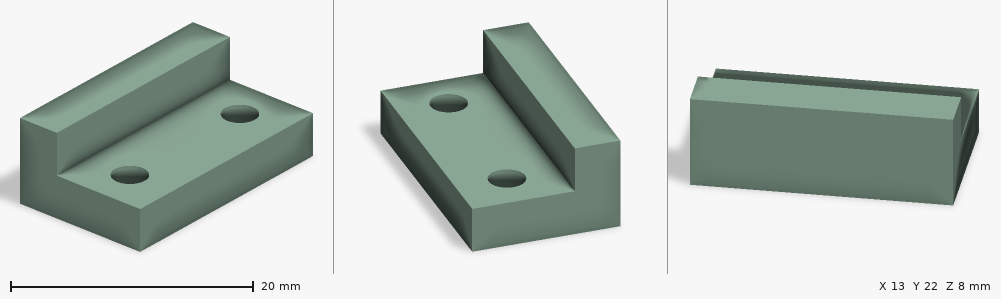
import cadquery as cq

length = 22.0
width = 13.0
height = 8.0
thickness = height / 2
hole_diameter = 3.2
hole_spacing = 14.0
hole_offset = 8.5

base = cq.Workplane("XY").box(width, length, thickness, centered=(False, True, False))

wall = cq.Workplane("XY").box(thickness, length, height, centered=(False, True, False))

holes = (
    cq.Workplane("XY")
    .pushPoints([(hole_offset, side * hole_spacing / 2) for side in (-1, 1)])
    .circle(hole_diameter / 2)
    .extrude(thickness)
)

result = base.union(wall).cut(holes)